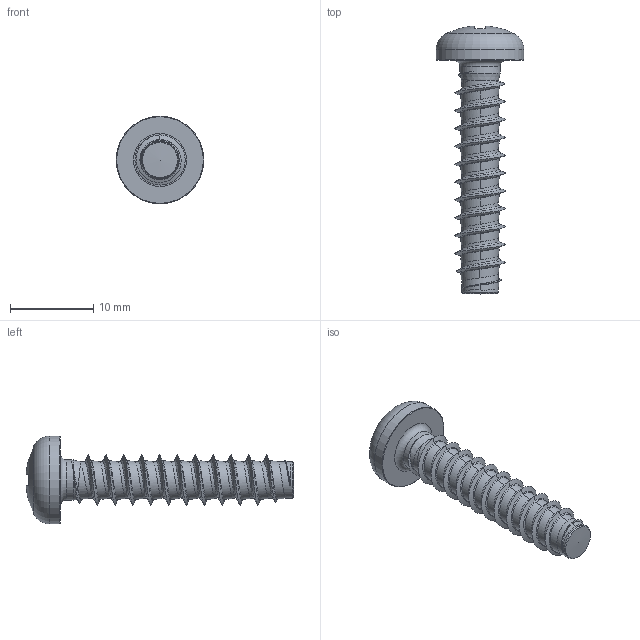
import cadquery as cq
import math


head_radius = 5.25
head_apex = 4.16
crown_radius = 9.1
shoulder_radius = 2.1
rim_chamfer = 0.06

recess_slot_width = 1.29
recess_top_span = 5.36
recess_floor_span = 2.4
recess_depth = 2.6

shank_length = 27.93
neck_radius = 2.415
neck_length = 1.52
seat_fillet = 0.75
neck_taper_end = 2.4
core_radius = 2.2
tip_radius = 2.1
tip_taper_length = 0.15
tip_bulge = 0.06

crest_radius = 3.0
pitch = 2.138
thread_start = -1.21
thread_turns = 12.4
thread_end = thread_start - thread_turns * pitch
run_in_length = 2.2
run_out_length = 3.0
start_fraction = 0.2
end_fraction = -0.08
least_width_fraction = 0.2
sections_per_piece = 16

crest_height = crest_radius - core_radius
head_side_root = (-0.65, -0.25)
head_side_bend = (-0.24, 0.25)
tip_side_bend = (0.19, 0.25)
ramp_top = (0.30, 0.13)
ramp_end = (pitch - 0.70, -0.015)
ramp_root_height = -0.25
ramp_overrun = 0.08


def make_blank():
    """Head and shank without recess or thread, revolved about Y."""
    crown_centre = head_apex - crown_radius
    shoulder_x = head_radius - shoulder_radius
    centre_gap = crown_radius - shoulder_radius
    shoulder_y = crown_centre + math.sqrt(centre_gap**2 - shoulder_x**2)

    blend_angle = math.acos(shoulder_x / centre_gap)
    crown_mid_angle = (blend_angle + math.pi / 2) / 2
    shoulder_mid_angle = blend_angle / 2

    def on_crown(angle):
        return (crown_radius * math.cos(angle), crown_centre + crown_radius * math.sin(angle))

    def on_shoulder(angle):
        return (
            shoulder_x + shoulder_radius * math.cos(angle),
            shoulder_y + shoulder_radius * math.sin(angle),
        )

    fillet_outer = neck_radius + seat_fillet
    fillet_reach = seat_fillet * math.sqrt(0.5)
    fillet_mid = (fillet_outer - fillet_reach, fillet_reach - seat_fillet)

    profile = (
        cq.Workplane("XY")
        .moveTo(0, head_apex)
        .threePointArc(on_crown(crown_mid_angle), on_crown(blend_angle))
        .threePointArc(on_shoulder(shoulder_mid_angle), on_shoulder(0))
        .lineTo(head_radius, rim_chamfer)
        .lineTo(head_radius - rim_chamfer, 0)
        .lineTo(fillet_outer, 0)
        .threePointArc(fillet_mid, (neck_radius, -seat_fillet))
        .lineTo(neck_radius, -neck_length)
        .lineTo(core_radius, -neck_taper_end)
        .lineTo(core_radius, tip_taper_length - shank_length)
        .lineTo(tip_radius, -shank_length)
        .lineTo(0, -shank_length - tip_bulge)
        .close()
    )
    return profile.revolve(360, (0, 0, 0), (0, 1, 0))


def make_recess():
    """Two crossed slots with sloping ends."""
    floor_y = head_apex - recess_depth
    slot = (
        cq.Workplane("XY")
        .moveTo(-recess_top_span / 2, head_apex)
        .lineTo(recess_top_span / 2, head_apex)
        .lineTo(recess_floor_span / 2, floor_y)
        .lineTo(-recess_floor_span / 2, floor_y)
        .close()
        .extrude(recess_slot_width / 2, both=True)
    )
    return slot.union(slot.rotate((0, 0, 0), (0, 1, 0), 90))


def ridge_fraction(y):
    """Fraction of the full ridge height where the crest is at height y."""
    run_in = min((thread_start - y) / run_in_length, 1)
    run_out = min((y - thread_end) / run_out_length, 1)
    growing = start_fraction + (1 - start_fraction) * math.sin(run_in * math.pi / 2)
    fading = end_fraction + (1 - end_fraction) * run_out
    return min(growing, fading)


def ridge_section(y):
    """Corners (offset toward the tip, radius) of the ridge where the crest is at height y."""
    fraction = ridge_fraction(y)
    width_scale = max(fraction, least_width_fraction)
    section = [(head_side_root[0] * width_scale, core_radius + head_side_root[1])]
    for offset, height in (head_side_bend, (0, crest_height), tip_side_bend, ramp_top):
        section.append((offset * width_scale, core_radius + height * fraction))
    ramp_reach = min(ramp_end[0], y - thread_end + ramp_overrun)
    for height in (ramp_end[1], ramp_root_height):
        section.append((ramp_reach, core_radius + height))
    return section


def ridge_point(y, offset, radius):
    """Place a ridge corner on its helix, where the crest is at height y."""
    angle = math.tau * (thread_start - y) / pitch
    return cq.Vector(-radius * math.sin(angle), y - offset, radius * math.cos(angle))


def make_ridge_piece(y_start, y_end):
    """One stretch of ridge: its corners follow helical splines, joined by ruled faces."""
    paths = [[] for _ in ridge_section(y_start)]
    for i in range(sections_per_piece + 1):
        y = y_start + (y_end - y_start) * i / sections_per_piece
        for path, (offset, radius) in zip(paths, ridge_section(y)):
            path.append(ridge_point(y, offset, radius))

    edges = [cq.Edge.makeSpline(path) for path in paths]
    faces = [cq.Face.makeRuledSurface(a, b) for a, b in zip(edges, edges[1:] + edges[:1])]
    for end in (0, -1):
        corners = [path[end] for path in paths]
        faces.append(cq.Face.makeFromWires(cq.Wire.makePolygon(corners, close=True)))
    return cq.Solid.makeSolid(cq.Shell.makeShell(faces))


def make_ridge_pieces():
    """The whole thread ridge as end-to-end pieces of one turn; the last one is shorter."""
    pieces = []
    for turn in range(math.ceil(thread_turns)):
        y_start = thread_start - turn * pitch
        y_end = max(y_start - pitch, thread_end)
        pieces.append(make_ridge_piece(y_start, y_end))
    return pieces


blank = make_blank().cut(make_recess())
threaded = blank.val().fuse(*make_ridge_pieces())
result = cq.Workplane(threaded.Solids()[0])